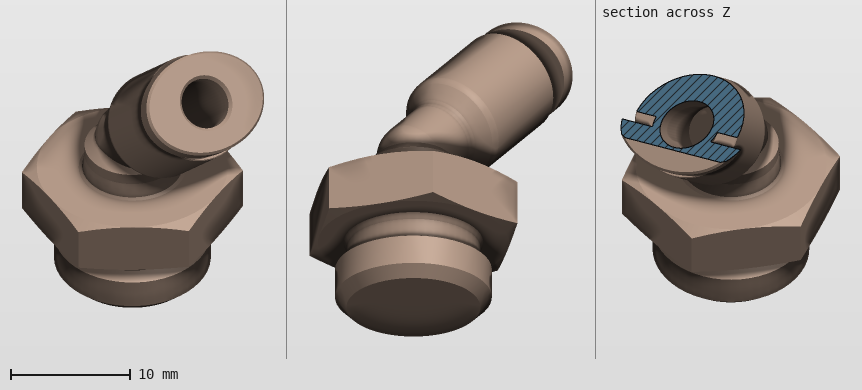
import cadquery as cq
import math

hex_across_flats = 16.0
hex_across_corners = hex_across_flats / math.cos(math.radians(30))
hex_bottom_z = 6.0
hex_top_z = 10.58
hex_top_corner_drop = 0.45
hex_bottom_corner_rise = 0.3

thread_radius = 6.55
thread_top_z = 3.48
lead_chamfer = 0.95
undercut_radius = 5.6
undercut_bottom_z = 4.0
undercut_top_z = 5.5
undercut_flare = 0.23

stem_radius = 4.0
stem_base_radius = 4.2
stem_flare_radius = 4.5
stem_flare_top_z = 10.73
stem_taper_top_z = 12.0
stem_top_z = 12.97

elbow_z = 13.8
arm_tilt = 45.0
neck_radius = 3.1
body_radius = 4.52
shoulder_start = 4.08
shoulder_end = 5.8
shoulder_fillet = 1.0
body_end = 14.7
body_end_chamfer = 0.1

collar_radius = 2.75
button_start = 15.55
button_end = 17.05
button_half_width = 4.29
button_half_length = 5.45
button_chamfer = 0.2
bore_radius = 2.1
bore_chamfer = 0.25


def revolve_profile(points):
    """Turn a closed (radius, height) outline about the Z axis."""
    return cq.Workplane("XZ").polyline(points).close().revolve(360, (0, 0), (0, 1))


def make_hexagon():
    """Hexagon with its corners turned off conically at both ends."""
    flat_radius = hex_across_flats / 2
    corner_radius = hex_across_corners / 2
    prism = (
        cq.Workplane("XY", origin=(0, 0, hex_bottom_z))
        .polygon(6, hex_across_corners)
        .extrude(hex_top_z - hex_bottom_z)
    )
    turned_envelope = revolve_profile([
        (0, hex_bottom_z),
        (flat_radius, hex_bottom_z),
        (corner_radius, hex_bottom_z + hex_bottom_corner_rise),
        (corner_radius, hex_top_z - hex_top_corner_drop),
        (flat_radius, hex_top_z),
        (0, hex_top_z),
    ])
    return prism.intersect(turned_envelope)


def make_spindle():
    """Threaded end, undercut and stem: everything turned about the vertical axis."""
    return revolve_profile([
        (0, 0),
        (thread_radius - lead_chamfer, 0),
        (thread_radius, lead_chamfer),
        (thread_radius, thread_top_z),
        (undercut_radius, undercut_bottom_z),
        (undercut_radius, undercut_top_z),
        (undercut_radius + undercut_flare, hex_bottom_z),
        (undercut_radius + undercut_flare, hex_top_z),
        (stem_flare_radius, hex_top_z),
        (stem_base_radius, stem_flare_top_z),
        (stem_radius, stem_taper_top_z),
        (stem_radius, stem_top_z),
        (neck_radius, elbow_z),
        (0, elbow_z),
    ])


def edges_at_height(height):
    """Select the arm's round edges lying at one height."""
    reach = 2 * body_radius
    tolerance = 0.03
    return cq.selectors.BoxSelector(
        (-reach, -reach, height - tolerance),
        (reach, reach, height + tolerance),
    )


def make_arm():
    """Neck, flared shoulder, tube body and button collar, upright on the origin."""
    arm = revolve_profile([
        (0, 0),
        (neck_radius, 0),
        (neck_radius, shoulder_start),
        (body_radius, shoulder_end),
        (body_radius, body_end),
        (0, body_end),
    ])
    arm = arm.faces(">Z").edges().chamfer(body_end_chamfer)
    for corner_height in (shoulder_start, shoulder_end):
        arm = arm.edges(edges_at_height(corner_height)).fillet(shoulder_fillet)
    collar = (
        cq.Workplane("XY", origin=(0, 0, body_end))
        .circle(collar_radius)
        .extrude(button_start - body_end)
    )
    return arm.union(collar)


def make_button():
    """Oval release button with a chamfered front rim, longer across Y."""
    return (
        cq.Workplane("XY", origin=(0, 0, button_start))
        .ellipse(button_half_width, button_half_length)
        .extrude(button_end - button_start)
        .faces(">Z")
        .edges()
        .chamfer(button_chamfer)
    )


def make_bore():
    """Tube socket, as deep as the wide part of the body, with a chamfered mouth."""
    return revolve_profile([
        (0, shoulder_end),
        (bore_radius, shoulder_end),
        (bore_radius, button_end - bore_chamfer),
        (bore_radius + bore_chamfer, button_end),
        (0, button_end),
    ])


def tilt_onto_elbow(shape):
    """Lean an upright shape toward +X and set it on the elbow ball."""
    return shape.rotate((0, 0, 0), (0, 1, 0), arm_tilt).translate((0, 0, elbow_z))


elbow_ball = cq.Workplane("XY").sphere(neck_radius).translate((0, 0, elbow_z))
tube_end = make_arm().union(make_button()).cut(make_bore())
result = make_spindle().union(make_hexagon()).union(elbow_ball).union(tilt_onto_elbow(tube_end))